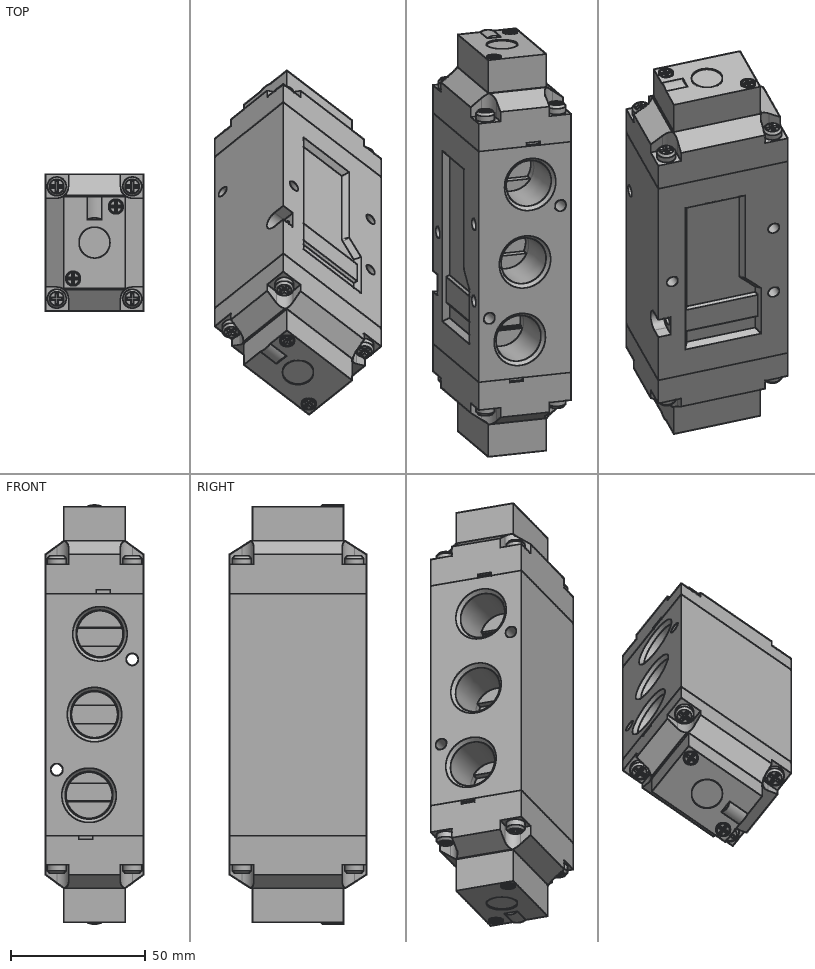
import cadquery as cq
WIDTH = 36.5
DEPTH = 51.0
HALF_LENGTH = 78.0
FRONT = -DEPTH / 2
SIDE = -WIDTH / 2

BODY_TOP = 45.0
POCKET_FLOOR = 55.8
SHOULDER = 59.6
ADAPTER_TOP = 64.6
CAP_TOP = 77.4

PORT_DIA = 17.8
PORT_FLOOR_DIA = 17.2
PORT_RIM_DIA = 20.3
PORT_RIM_DEPTH = 1.5
PORT_DEPTH = 20.3
PORT_PITCH = 30.03
PORT_SHIFT = 2.0
SLOT_HEIGHT = 7.0
SLOT_DEPTH = 3.1
OUTER_SLOT_OFFSET = 29.0
SLOT_STEP = 0.5

MOUNT_DIA = 4.4
MOUNT_X = 14.0
MOUNT_Z = 20.51
SIDE_HOLE_DIA = 4.4
SIDE_HOLE_DEPTH = 7.8
SIDE_HOLE_Y = 20.0
SIDE_HOLE_Z = 15.0

RECESS_HALF_LENGTH = 33.2
RECESS_HALF_WIDTH = 15.0
RECESS_STEP_Y = -8.7
RECESS_STEP_Z = -5.6
RECESS_DEPTH = 2.3
RECESS_TAPER = 33
BAR_RISE = 1.1
BAR_SLOPE = 0.8
BAR_LOW = -25.7
BAR_HIGH = -15.8

NOTCH_DEPTH = 5.0
NOTCH_HEIGHT = 8.1
NOTCH_STRAIGHT = 4.7
NOTCH_Z = -20.67

CAP_WIDTH = 23.0
LEDGE_DEPTH = 35.3
VENT_WIDTH = 5.3
VENT_HEIGHT = 1.4
VENT_DEPTH = 1.5
VENT_X = 3.3
SCREW_X = 14.0
SCREW_Y = 20.9
POCKET_RADIUS = 4.4
HEAD_DIA = 7.0
HEAD_HEIGHT = 3.3
HEAD_BEVEL_WIDTH = 0.86
HEAD_BEVEL_HEIGHT = 1.1
CROSS_LENGTH = 4.4
CROSS_WIDTH = 1.2
CROSS_DEPTH = 1.2
CROSS_TAPER = 15

CAP_DEPTH = 34.0
CAP_BACK = CAP_DEPTH / 2
BUTTON_DIA = 11.5
BUTTON_DEPTH = 0.5
RIDGE_WIDTH = 5.3
RIDGE_HEIGHT = HALF_LENGTH - CAP_TOP
RIDGE_LENGTH = 8.5
CAP_SCREW_X = 8.0
CAP_SCREW_Y = 13.4
CAP_SCREW_RIM_DIA = 5.5
CAP_SCREW_HEAD_DIA = 4.7
CAP_SCREW_GAP_DEPTH = 0.5
CAP_CROSS_LENGTH = 3.6
CAP_CROSS_WIDTH = 1.0


def bore_from_front(x, z, diameter, depth):
    """Cylinder sunk into the front face, running toward +Y."""
    centre = cq.Vector(x, FRONT, z)
    return cq.Workplane(cq.Solid.makeCylinder(diameter / 2, depth, centre, cq.Vector(0, 1, 0)))


def cross_recess(x, y, top, length, width):
    """Cross-shaped driver recess sunk below the given height."""
    cutter = cq.Workplane().rect(length, width).extrude(-CROSS_DEPTH, taper=CROSS_TAPER)
    cutter = cutter.union(cq.Workplane().rect(width, length).extrude(-CROSS_DEPTH, taper=CROSS_TAPER))
    return cutter.translate((x, y, top))


def cone_from_front(x, z, mouth_dia, inner_dia, depth):
    """Cone sunk into the front face, narrowing toward +Y."""
    centre = cq.Vector(x, FRONT, z)
    return cq.Workplane(cq.Solid.makeCone(mouth_dia / 2, inner_dia / 2, depth, centre, cq.Vector(0, 1, 0)))


def floor_slot(x, z, slot_z, height, depth):
    """Slot across a port floor, bounded at its ends by the port wall."""
    reach = bore_from_front(x, z, PORT_FLOOR_DIA, PORT_DEPTH + depth)
    band = cq.Workplane().box(PORT_RIM_DIA, DEPTH, height).translate((x, 0, slot_z))
    return reach.intersect(band)


def port(x, z):
    """Countersunk, slightly tapered blind port."""
    bore = cone_from_front(x, z, PORT_DIA, PORT_FLOOR_DIA, PORT_DEPTH)
    rim = cone_from_front(x, z, PORT_RIM_DIA, PORT_DIA, PORT_RIM_DEPTH)
    return bore.union(rim)


def middle_port():
    """Central port with a plain slot in its floor."""
    return port(0, 0).union(floor_slot(0, 0, 0, SLOT_HEIGHT, SLOT_DEPTH))


def outer_port(end):
    """Port toward one end of the body, whose slot is stepped along its outer edge."""
    x = end * PORT_SHIFT
    z = end * PORT_PITCH
    slot_z = end * OUTER_SLOT_OFFSET
    deep_z = slot_z - end * SLOT_STEP / 2
    shallow = floor_slot(x, z, slot_z, SLOT_HEIGHT, SLOT_DEPTH / 2)
    deep = floor_slot(x, z, deep_z, SLOT_HEIGHT - SLOT_STEP, SLOT_DEPTH)
    return port(x, z).union(shallow).union(deep)


def label_recess():
    """Recess with sloping walls, widened toward the front at its lower end."""
    widening = RECESS_HALF_WIDTH + RECESS_STEP_Y
    outline = [
        (RECESS_HALF_WIDTH, -RECESS_HALF_LENGTH),
        (RECESS_HALF_WIDTH, RECESS_HALF_LENGTH),
        (RECESS_STEP_Y, RECESS_HALF_LENGTH),
        (RECESS_STEP_Y, RECESS_STEP_Z),
        (-RECESS_HALF_WIDTH, RECESS_STEP_Z - widening),
        (-RECESS_HALF_WIDTH, -RECESS_HALF_LENGTH),
    ]
    cutter = (
        cq.Workplane("YZ", origin=(SIDE, 0, 0))
        .polyline(outline)
        .close()
        .extrude(RECESS_DEPTH, taper=RECESS_TAPER)
    )
    floor_x = SIDE + RECESS_DEPTH
    bar = (
        cq.Workplane("XZ", origin=(0, RECESS_HALF_WIDTH, 0))
        .moveTo(floor_x, BAR_LOW - BAR_SLOPE)
        .lineTo(floor_x - BAR_RISE, BAR_LOW)
        .lineTo(floor_x - BAR_RISE, BAR_HIGH)
        .lineTo(floor_x, BAR_HIGH + BAR_SLOPE)
        .close()
        .extrude(2 * RECESS_HALF_WIDTH)
    )
    return cutter.cut(bar)


def edge_notch():
    """Slot open to the side and rear faces, with a half-round inner end."""
    radius = NOTCH_HEIGHT / 2
    return (
        cq.Workplane("XZ", origin=(SIDE, DEPTH / 2, NOTCH_Z))
        .moveTo(0, -radius)
        .lineTo(NOTCH_STRAIGHT, -radius)
        .threePointArc((NOTCH_STRAIGHT + radius, 0), (NOTCH_STRAIGHT, radius))
        .lineTo(0, radius)
        .close()
        .extrude(NOTCH_DEPTH)
    )


def make_body():
    """Main block with ports, mounting holes, label recess and side features."""
    body = cq.Workplane().box(WIDTH, DEPTH, 2 * BODY_TOP)
    body = body.cut(middle_port())
    for end in (1, -1):
        body = body.cut(outer_port(end))
        body = body.cut(bore_from_front(end * MOUNT_X, end * MOUNT_Z, MOUNT_DIA, DEPTH))
    body = body.cut(label_recess())
    side_holes = (
        cq.Workplane("YZ", origin=(SIDE, 0, 0))
        .pushPoints([(SIDE_HOLE_Y, 0), (-SIDE_HOLE_Y, SIDE_HOLE_Z), (-SIDE_HOLE_Y, -SIDE_HOLE_Z)])
        .circle(SIDE_HOLE_DIA / 2)
        .extrude(SIDE_HOLE_DEPTH)
    )
    body = body.cut(side_holes)
    return body.cut(edge_notch())


def corner_pocket(x_sign, y_sign):
    """Pocket open to both outer faces of a corner, rounded about the screw axis."""
    reach_x = WIDTH / 2 - SCREW_X + POCKET_RADIUS
    reach_y = DEPTH / 2 - SCREW_Y + POCKET_RADIUS
    height = ADAPTER_TOP - POCKET_FLOOR
    cutter = cq.Workplane().box(reach_x, reach_y, height, centered=(False, False, False))
    cutter = cutter.edges("|Z and <X and <Y").fillet(POCKET_RADIUS)
    cutter = cutter.translate((SCREW_X - POCKET_RADIUS, SCREW_Y - POCKET_RADIUS, POCKET_FLOOR))
    if x_sign < 0:
        cutter = cutter.mirror("YZ")
    if y_sign < 0:
        cutter = cutter.mirror("XZ")
    return cutter


def adapter_screw(x, y):
    """Bevelled cylindrical screw head standing on a pocket floor."""
    radius = HEAD_DIA / 2
    head = (
        cq.Workplane("XZ")
        .lineTo(radius, 0)
        .lineTo(radius, HEAD_HEIGHT - HEAD_BEVEL_HEIGHT)
        .lineTo(radius - HEAD_BEVEL_WIDTH, HEAD_HEIGHT)
        .lineTo(0, HEAD_HEIGHT)
        .close()
        .revolve(360, (0, 0), (0, 1))
        .translate((x, y, POCKET_FLOOR))
    )
    return head.cut(cross_recess(x, y, POCKET_FLOOR + HEAD_HEIGHT, CROSS_LENGTH, CROSS_WIDTH))


def make_adapter():
    """Top adapter: block with sloping shoulders, screws in its corner pockets and a vent notch."""
    adapter = cq.Workplane(origin=(0, 0, BODY_TOP)).rect(WIDTH, DEPTH).extrude(SHOULDER - BODY_TOP)
    shoulders = (
        cq.Workplane(origin=(0, 0, SHOULDER))
        .rect(WIDTH, DEPTH)
        .workplane(offset=ADAPTER_TOP - SHOULDER)
        .rect(CAP_WIDTH, LEDGE_DEPTH)
        .loft(ruled=True)
    )
    adapter = adapter.union(shoulders)
    for x_sign in (1, -1):
        for y_sign in (1, -1):
            adapter = adapter.cut(corner_pocket(x_sign, y_sign))
            adapter = adapter.union(adapter_screw(x_sign * SCREW_X, y_sign * SCREW_Y))
    vent = (
        cq.Workplane()
        .box(VENT_WIDTH, VENT_DEPTH, VENT_HEIGHT, centered=(True, False, False))
        .translate((VENT_X, FRONT, BODY_TOP))
    )
    return adapter.cut(vent)


def ridge():
    """Low arched ridge running in from the rear edge of the cap, with a sloping inner end."""
    arch = (
        cq.Workplane("XZ", origin=(0, CAP_BACK, CAP_TOP))
        .moveTo(-RIDGE_WIDTH / 2, 0)
        .threePointArc((0, RIDGE_HEIGHT), (RIDGE_WIDTH / 2, 0))
        .close()
        .extrude(RIDGE_LENGTH)
    )
    inner_end = CAP_BACK - RIDGE_LENGTH
    slope = (
        cq.Workplane("YZ", origin=(-RIDGE_WIDTH / 2, 0, 0))
        .moveTo(inner_end, CAP_TOP)
        .lineTo(inner_end, HALF_LENGTH)
        .lineTo(inner_end + RIDGE_HEIGHT, HALF_LENGTH)
        .close()
        .extrude(RIDGE_WIDTH)
    )
    return arch.cut(slope)


def make_cap():
    """Top cap: plain block with a round recess, an index ridge and two flush screws."""
    cap = (
        cq.Workplane(origin=(0, 0, ADAPTER_TOP))
        .rect(CAP_WIDTH, CAP_DEPTH)
        .extrude(CAP_TOP - ADAPTER_TOP)
    )
    top = cq.Workplane(origin=(0, 0, CAP_TOP))
    cap = cap.cut(top.circle(BUTTON_DIA / 2).extrude(-BUTTON_DEPTH))
    for sign in (1, -1):
        x = sign * CAP_SCREW_X
        y = sign * CAP_SCREW_Y
        gap = (
            cq.Workplane(origin=(x, y, CAP_TOP))
            .circle(CAP_SCREW_RIM_DIA / 2)
            .circle(CAP_SCREW_HEAD_DIA / 2)
            .extrude(-CAP_SCREW_GAP_DEPTH)
        )
        cap = cap.cut(gap).cut(cross_recess(x, y, CAP_TOP, CAP_CROSS_LENGTH, CAP_CROSS_WIDTH))
    return cap.union(ridge())


body = make_body()
adapter = make_adapter()
cap = make_cap()

adapters = []
caps = []
for turn in (0, 180):
    adapters.append(adapter.rotate((0, 0, 0), (0, 1, 0), turn).val())
    caps.append(cap.rotate((0, 0, 0), (0, 1, 0), turn).val())

result = cq.Compound.makeCompound([body.val(), *adapters, *caps])